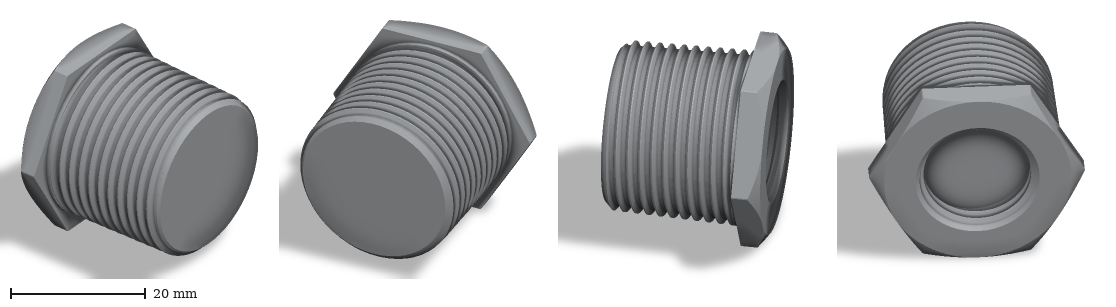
import cadquery as cq
import math


across_flats = 27.9
across_corners = 32.12
head_thickness = 4.0
corner_chamfer_length = 1.5

total_length = 24.5
collar_diameter = 26.45
collar_end = 4.7
shank_root_radius = 12.37
shank_taper = 1 / 50
tip_radius = 11.63

ten_pitches = 18.15
pitch = ten_pitches / 10
thread_depth = 0.77
thread_base_width = 1.15
thread_crest_width = 0.2
thread_embed = 0.1

outer_crest_start = 3.37
outer_turns = 12.5
inner_crest_start = -0.32
inner_turns = 4

bore_root_radius = 8.75
bore_mouth_radius = 9.25
mouth_overrun = 3.2
plug_front = 4.8
plug_radius = 9.0


def revolve_about_x(points):
    """Solid of revolution about X from (x, radius) points."""
    return cq.Workplane("XY").polyline(points).close().revolve(360, (0, 0, 0), (1, 0, 0))


def thread_ridge(start, root_radius, turns, outward, taper=0.0):
    """Right-handed trapezoidal ridge along X, on a cylinder or on a cone narrowing towards +X.

    outward is 1 for an external thread and -1 for an internal one.
    """
    base_radius = root_radius - outward * thread_embed
    crest_radius = root_radius + outward * thread_depth
    flank_width = (thread_base_width - thread_crest_width) / 2
    half_base = thread_base_width / 2 + thread_embed * flank_width / thread_depth
    half_crest = thread_crest_width / 2
    cone_angle = -math.degrees(math.atan(taper)) if taper else 360
    helix = cq.Wire.makeHelix(pitch, turns * pitch, root_radius, angle=cone_angle)
    ridge = (
        cq.Workplane("XZ")
        .moveTo(base_radius, -half_base)
        .lineTo(crest_radius, -half_crest)
        .lineTo(crest_radius, half_crest)
        .lineTo(base_radius, half_base)
        .close()
        .sweep(cq.Workplane(obj=helix), isFrenet=True)
    )
    return ridge.rotate((0, 0, 0), (0, 1, 0), 90).translate((start, 0, 0))


def make_head():
    """Hexagon with slightly turned corners and a conical chamfer around the front face."""
    flat_to_corner = across_flats / math.cos(math.pi / 6)
    hexagon = cq.Workplane("YZ").polygon(6, flat_to_corner).extrude(head_thickness)
    turned_blank = revolve_about_x([
        (0, 0),
        (0, across_flats / 2),
        (corner_chamfer_length, across_corners / 2),
        (head_thickness, across_corners / 2),
        (head_thickness, 0),
    ])
    return hexagon.intersect(turned_blank)


def make_threaded_shank():
    """Tapered shank with its ridge, trimmed by the 45 degree chamfer at the tip."""
    shank_end_radius = shank_root_radius - shank_taper * (total_length - collar_end)
    core = revolve_about_x([
        (0, 0),
        (0, shank_root_radius),
        (collar_end, shank_root_radius),
        (total_length, shank_end_radius),
        (total_length, 0),
    ])
    ridge_root = shank_root_radius + shank_taper * (collar_end - outer_crest_start)
    ridge = thread_ridge(outer_crest_start, ridge_root, outer_turns, 1, shank_taper)
    envelope_radius = across_flats / 2
    envelope = revolve_about_x([
        (0, 0),
        (0, envelope_radius),
        (total_length - (envelope_radius - tip_radius), envelope_radius),
        (total_length, tip_radius),
        (total_length, 0),
    ])
    return core.union(ridge).intersect(envelope)


def make_collar():
    return cq.Workplane("YZ").circle(collar_diameter / 2).extrude(collar_end)


def make_mouth_cutter():
    """45 degree cone of the bore mouth, continued ahead of the front face to trim the ridge."""
    return revolve_about_x([
        (-mouth_overrun, 0),
        (-mouth_overrun, bore_mouth_radius + mouth_overrun),
        (bore_mouth_radius, 0),
    ])


def make_bushing():
    blank = make_threaded_shank().union(make_head()).union(make_collar())
    bore = cq.Workplane("YZ").circle(bore_root_radius).extrude(total_length)
    ridge = thread_ridge(inner_crest_start, bore_root_radius, inner_turns, -1)
    return blank.cut(bore).union(ridge).cut(make_mouth_cutter()).cut(make_plug())


def make_plug():
    """Plain cylinder closing the bore behind its thread; its seat is a little wider than the thread."""
    plug_length = total_length - plug_front
    return cq.Workplane("YZ", origin=(plug_front, 0, 0)).circle(plug_radius).extrude(plug_length)


bushing = make_bushing()
plug = make_plug()

result = cq.Compound.makeCompound([bushing.solids().val(), plug.val()])